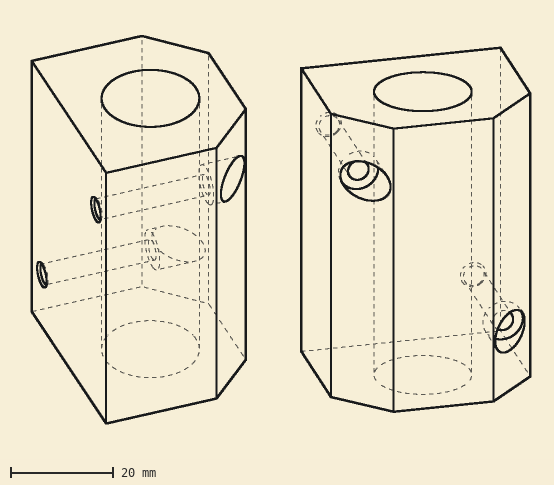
import cadquery as cq

width = 40.0
depth = 33.0
height = 60.0
bevel = 10.0

bore_diameter = 19.0
bore_center_y = 17.0

screw_diameter = 4.13
countersink_diameter = 5.1
countersink_depth = (countersink_diameter - screw_diameter) / 2
screw_offset_x = 14.5
screw_offset_z = 17.5
counterbore_diameter = 8.0
counterbore_depth = bevel


def make_block():
    """Block with its front face at Y = 0 and its base at Z = 0."""
    block = cq.Workplane("XY").box(width, depth, height, centered=(True, False, False))
    return block.edges("|Z and >Y").chamfer(bevel)


def make_bore():
    """Cylinder that cuts the vertical bore."""
    return cq.Workplane("XY").center(0, bore_center_y).circle(bore_diameter / 2).extrude(height)


def make_screw_hole(x, z):
    """Through hole with a front 45 degree countersink and a rear counterbore."""
    screw_radius = screw_diameter / 2
    countersink_radius = countersink_diameter / 2
    counterbore_radius = counterbore_diameter / 2
    counterbore_floor = depth - counterbore_depth
    half_section = [
        (0, 0),
        (countersink_radius, 0),
        (screw_radius, countersink_depth),
        (screw_radius, counterbore_floor),
        (counterbore_radius, counterbore_floor),
        (counterbore_radius, depth),
        (0, depth),
    ]
    cutter = cq.Workplane("XY").polyline(half_section).close().revolve(360, (0, 0), (0, 1))
    return cutter.translate((x, 0, z))


result = make_block().cut(make_bore())
for side in (-1, 1):
    hole_x = side * screw_offset_x
    hole_z = height / 2 + side * screw_offset_z
    result = result.cut(make_screw_hole(hole_x, hole_z))